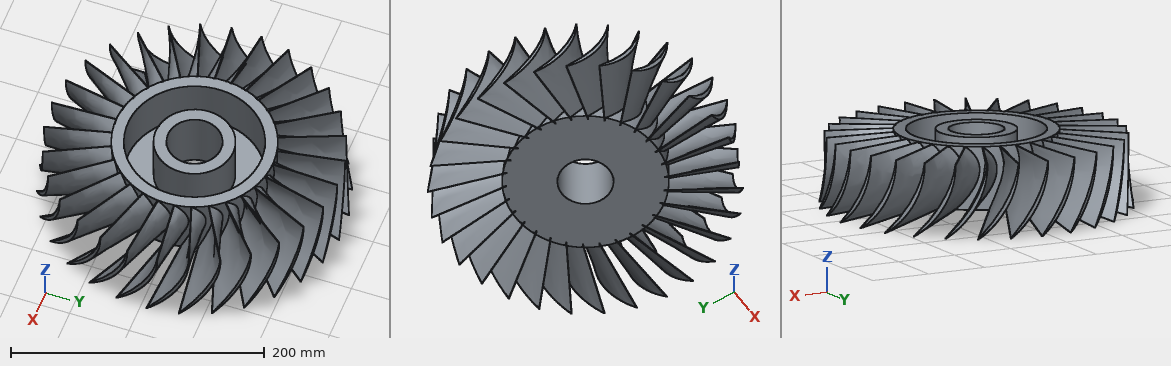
import cadquery as cq
import math

overall_width = 249.0
overall_height = 61.8

hub_radius = 65.8
hub_height = 51.3
pocket_radius = 55.8
pocket_floor = 10.0
boss_radius = 32.5
bore_radius = 22.2

blade_count = 30
blade_pitch = 360.0 / blade_count
root_plane = 62.3
tip_plane = 120.0
tip_drop = 2.7

steps_to_widest_blade = 6
widest_blade_angle = math.radians(steps_to_widest_blade * blade_pitch)
tip_sweep = (
    overall_width / 2 - tip_plane * math.sin(widest_blade_angle)
) / math.cos(widest_blade_angle)

edge_width = 0.5
root_top = (0, 0)
root_bottom = (7.2, -hub_height)
root_convex_points = [(-12.2, -19.7), (-1.2, -42.8)]
root_concave_points = [(-3.7, -17.5), (1.0, -35.9)]

tip_top = (0, -tip_drop)
tip_bottom = (tip_sweep - edge_width / 2, -overall_height)
tip_convex_points = [(2.5, -21.5), (13.0, -42.8)]
tip_concave_points = [(5.5, -22.5), (20.5, -47.3)]


def make_hub():
    body = cq.Workplane("XY").circle(hub_radius).extrude(-hub_height)
    pocket = (
        cq.Workplane("XY")
        .circle(pocket_radius)
        .circle(boss_radius)
        .extrude(pocket_floor - hub_height)
    )
    bore = cq.Workplane("XY").circle(bore_radius).extrude(-hub_height)
    return body.cut(pocket).cut(bore)


def blade_section(distance, top_end, bottom_end, convex_points, concave_points):
    """Closed crescent with flat ends, in the plane y = distance."""

    def side(end_offset, middle_points):
        start = (top_end[0] + end_offset, top_end[1])
        finish = (bottom_end[0] + end_offset, bottom_end[1])
        outline = [start, *middle_points, finish]
        return [cq.Vector(x, distance, z) for x, z in outline]

    convex_side = side(-edge_width / 2, convex_points)
    concave_side = side(edge_width / 2, concave_points)
    return cq.Wire.assembleEdges([
        cq.Edge.makeSpline(convex_side),
        cq.Edge.makeLine(convex_side[-1], concave_side[-1]),
        cq.Edge.makeSpline(concave_side[::-1]),
        cq.Edge.makeLine(concave_side[0], convex_side[0]),
    ])


def make_blade():
    """Blade on +Y, ruled straight from the root section to the tip section."""
    root = blade_section(
        root_plane, root_top, root_bottom, root_convex_points, root_concave_points
    )
    tip = blade_section(
        tip_plane, tip_top, tip_bottom, tip_convex_points, tip_concave_points
    )
    return cq.Solid.makeLoft([root, tip], True)


blade = make_blade()
blades = [
    blade.rotate(cq.Vector(0, 0, 0), cq.Vector(0, 0, 1), index * blade_pitch)
    for index in range(blade_count)
]
result = cq.Workplane(obj=make_hub().val().fuse(*blades))